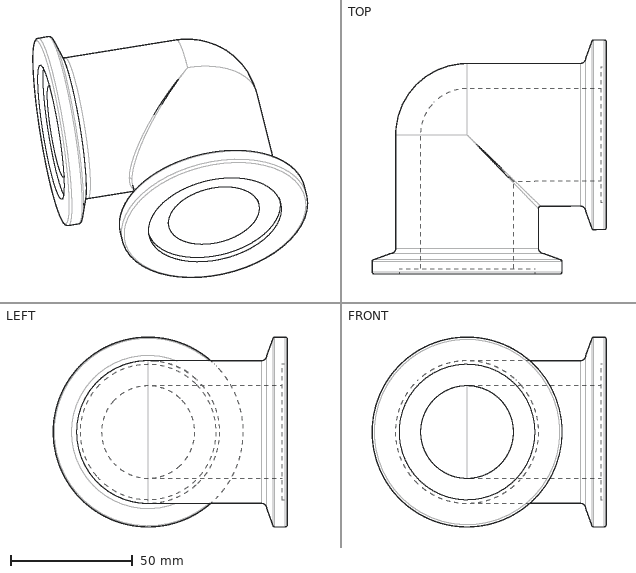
import cadquery as cq
import math

overall_length = 96.1
flange_diameter = 78.0
tube_diameter = 58.6
bore_diameter = 38.1
recess_diameter = 55.7
recess_depth = 2.2

rim_depth = 5.8
cone_angle = 20.0
root_radius = 2.1
front_rim_round = 1.0
back_rim_round = 0.8
crotch_round = 1.0

flange_radius = flange_diameter / 2
tube_radius = tube_diameter / 2
bore_radius = bore_diameter / 2
recess_radius = recess_diameter / 2
face_distance = overall_length - flange_radius
rim_start = face_distance - rim_depth
cone_small_radius = tube_radius + root_radius
cone_length = (flange_radius - cone_small_radius) * math.tan(math.radians(cone_angle))
cone_start = rim_start - cone_length
root_start = cone_start - root_radius


def toward_x(shape):
    """Turn a shape lying along -Y so that it lies along +X."""
    return shape.rotate((0, 0, 0), (0, 0, 1), 90)


def elbow(radius, length):
    """Legs along -Y and +X, joined by a spherical outer corner."""
    leg = cq.Workplane("XZ").circle(radius).extrude(length)
    return leg.union(toward_x(leg)).union(cq.Workplane("XY").sphere(radius))


def outer_body():
    """Outside of the two tubes, with the inner mitre rounded over."""
    tubes = elbow(tube_radius, root_start)
    return tubes.edges("%ELLIPSE").fillet(crotch_round)


def flange():
    """Ferrule flange on the -Y leg: quarter-round root, conical back and rounded rim."""
    profile = (
        cq.Workplane("XY")
        .moveTo(0, -root_start)
        .lineTo(tube_radius, -root_start)
        .radiusArc((cone_small_radius, -cone_start), -root_radius)
        .lineTo(flange_radius, -rim_start)
        .lineTo(flange_radius, -face_distance)
        .lineTo(0, -face_distance)
        .close()
    )
    body = profile.revolve(360, (0, 0, 0), (0, 1, 0))
    body = body.faces("<Y").edges().fillet(front_rim_round)
    widest_circles = cq.selectors.RadiusNthSelector(-1)
    return body.edges("%CIRCLE").edges(widest_circles).edges(">Y").fillet(back_rim_round)


def recess():
    """Shallow round recess in the sealing face of the -Y flange."""
    face = cq.Workplane("XZ", origin=(0, -face_distance, 0))
    return face.circle(recess_radius).extrude(-recess_depth)


end = flange()
result = outer_body().union(end).union(toward_x(end))
result = result.cut(elbow(bore_radius, face_distance))
result = result.cut(recess()).cut(toward_x(recess()))